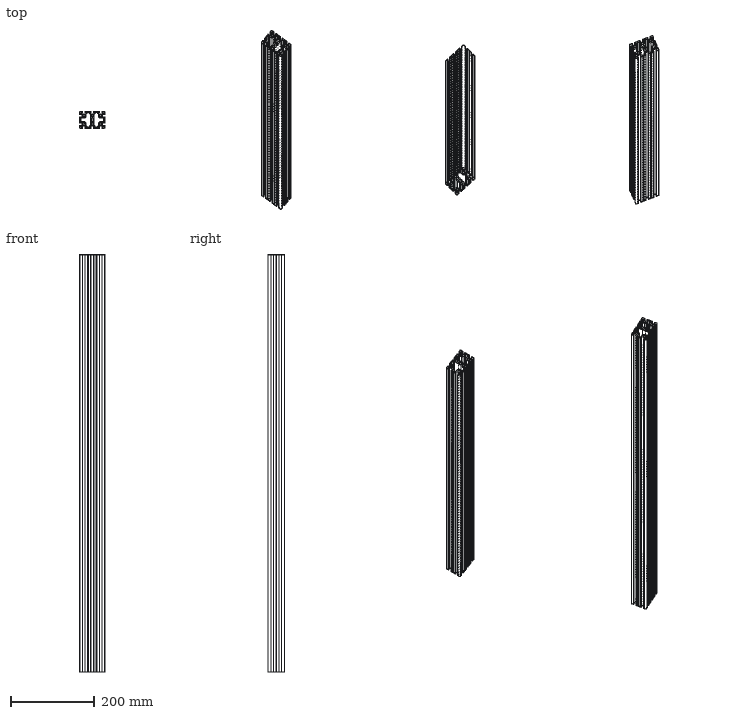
import cadquery as cq

length = 1000.0
width = 60.0
depth = 40.0
corner_radius = 1.5

module = 20.0
columns = 3
rows = 2
bore_diameter = 5.0

slot_opening = 6.2
lip_thickness = 2.5
head_width = 10.0
head_side_depth = 3.8
head_base_width = 9.0
head_base_depth = 5.0
slot_floor_width = 3.2
slot_depth = 5.9

groove_width = 1.8
groove_depth = 0.5

skin = 2.5
chamber_width = 11.0
chamber_shoulder_depth = 7.0
chamber_tip_width = 3.0
side_channel_width = 8.0
side_channel_flare = 3.0

web_chamber_width = 4.0
web_chamber_depth = 8.0


def grid_places(count):
    """Module centres along one axis, centred on the origin."""
    return [(i - (count - 1) / 2) * module for i in range(count)]


def grid_seams(count):
    """Midpoints between neighbouring module centres along one axis."""
    return [place + module / 2 for place in grid_places(count)[:-1]]


def block(x_size, y_size):
    """Full-length rectangular bar centred on the Z axis."""
    return cq.Workplane("XY").rect(x_size, y_size).extrude(length)


def symmetric_prism(levels):
    """Full-length prism symmetric about x = 0, from (full width, depth below y = 0) levels."""
    right_side = [(level_width / 2, -below) for level_width, below in levels]
    left_side = [(-x, y) for x, y in reversed(right_side)]
    return cq.Workplane("XY").polyline(right_side + left_side).close().extrude(length)


def t_slot():
    """T-slot cutter entering downwards from y = 0."""
    return symmetric_prism([
        (slot_opening, 0),
        (slot_opening, lip_thickness),
        (head_width, lip_thickness),
        (head_width, head_side_depth),
        (head_base_width, head_base_depth),
        (slot_floor_width, slot_depth),
    ])


def marking_groove():
    """Flat-bottomed groove cutter entering downwards from y = 0."""
    return symmetric_prism([(groove_width, 0), (groove_width, groove_depth)])


def chamber(x):
    """Hollow chamber at x, running front to back and tapered at both ends."""
    return symmetric_prism([
        (chamber_tip_width, skin),
        (chamber_width, chamber_shoulder_depth),
        (chamber_width, depth - chamber_shoulder_depth),
        (chamber_tip_width, depth - skin),
    ]).translate((x, depth / 2, 0))


def side_channel():
    """Straight channel behind the skin below y = 0, flaring where it meets a chamber."""
    chamber_wall = module - chamber_width / 2
    return symmetric_prism([
        (side_channel_width, skin),
        (side_channel_width, chamber_wall - side_channel_flare),
        (side_channel_width + 2 * side_channel_flare, chamber_wall),
    ])


def on_front_and_back(cutter, places):
    """Copies of a cutter entering the -Y and +Y faces at the given places along X."""
    back = [cutter.translate((place, depth / 2, 0)) for place in places]
    return back + [copy.rotate((0, 0, 0), (0, 0, 1), 180) for copy in back]


def on_sides(cutter, places):
    """Copies of a cutter entering the -X and +X faces at the given places along Y."""
    outward = [cutter.translate((place, width / 2, 0)) for place in places]
    return [copy.rotate((0, 0, 0), (0, 0, 1), turn) for copy in outward for turn in (90, 270)]


column_places = grid_places(columns)
row_places = grid_places(rows)
column_seams = grid_seams(columns)
row_seams = grid_seams(rows)

cutters = on_front_and_back(t_slot(), column_places) + on_sides(t_slot(), row_places)
cutters += on_front_and_back(marking_groove(), column_seams) + on_sides(marking_groove(), row_seams)
cutters += [chamber(x) for x in column_seams]
cutters += on_sides(side_channel(), row_seams)
cutters.append(block(web_chamber_width, web_chamber_depth))

bore_centres = [(x, y) for x in column_places for y in row_places]
cutters.append(cq.Workplane("XY").pushPoints(bore_centres).circle(bore_diameter / 2).extrude(length))

result = block(width, depth).edges("|Z").fillet(corner_radius)
for cutter in cutters:
    result = result.cut(cutter)